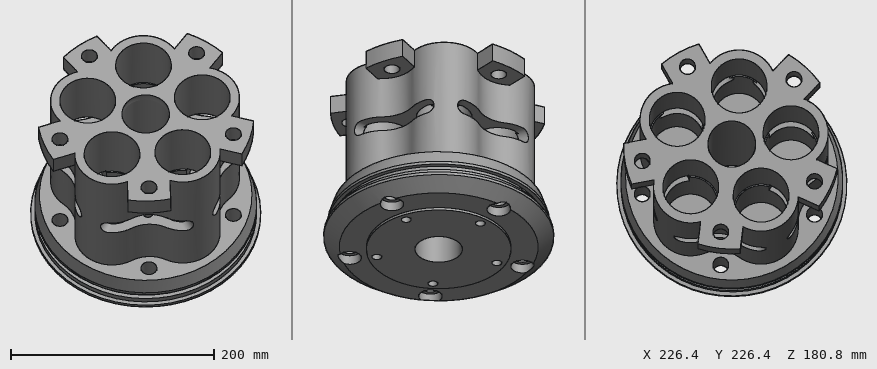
import cadquery as cq
import math

TOTAL_HEIGHT = 180.83
CYLINDER_COUNT = 5
PITCH_ANGLE = 360 / CYLINDER_COUNT
CYLINDER_START = 90
VALLEY_START = CYLINDER_START + PITCH_ANGLE / 2

PILOT_HEIGHT = 2.8
BEVEL_TOP = 14.3
LIP_TOP = 17.5
GROOVE_BOTTOM = 23.0
GROOVE_TOP = 29.3
LAND_TOP = 32.5
FLANGE_TOP = 46.8

PILOT_RADIUS = 71.2
BEVEL_SMALL_RADIUS = 97.8
LIP_RADIUS = 113.19
LAND_RADIUS = 109.2
GROOVE_RADIUS = 105.0
FLANGE_TOP_RADIUS = 104.5

CYLINDER_PITCH_RADIUS = 59.25
BORE_RADIUS = 27.4
CYLINDER_WALL = 9.2
CYLINDER_RADIUS = BORE_RADIUS + CYLINDER_WALL
VALLEY_FILLET_RADIUS = 34.5
BORE_FLOOR = FLANGE_TOP
LOWER_BORE_RADIUS = 26.0

CENTRE_BORE_RADIUS = 23.3
SEAT_HEIGHT = 8.4

LUG_WIDTH = 42.0
LUG_HEIGHT = 19.7
LUG_RADIUS = 106.5
BOLT_CIRCLE_RADIUS = 89.7
BOLT_HOLE_RADIUS = 7.75
BOLT_HEAD_RADIUS = 11.5
BOLT_HEAD_DEPTH = 10.0

PORT_CENTRE_HEIGHT = 108.4
PORT_HEIGHT = 16.0
PORT_INNER_RADIUS = 45.2
PORT_OUTER_RADIUS = 110.0
PORT_END_ANGLE = 24.1
PORT_TURN = -1.0
PORT_ROOF = PORT_CENTRE_HEIGHT + PORT_HEIGHT / 2
BORE_STEP_HEIGHT = PORT_ROOF - 0.9
DUCT_CIRCLE_RADIUS = 62.3
DUCT_RADIUS = 4.75


def polar(radius, angle):
    """Point at a radius and an angle in degrees about the part axis."""
    return (radius * math.cos(math.radians(angle)), radius * math.sin(math.radians(angle)))


def ring(radius, start):
    """Five evenly spaced points about the part axis."""
    return [polar(radius, start + i * PITCH_ANGLE) for i in range(CYLINDER_COUNT)]


def rods(points, radius, bottom, top):
    """Upright round rods at the given points."""
    return cq.Workplane("XY", origin=(0, 0, bottom)).pushPoints(points).circle(radius).extrude(top - bottom)


def base_flange():
    """Turned base with a pilot boss, bevelled lip, ring groove and tapered shoulder."""
    profile = [
        (0, 0),
        (PILOT_RADIUS, 0),
        (PILOT_RADIUS, PILOT_HEIGHT),
        (BEVEL_SMALL_RADIUS, PILOT_HEIGHT),
        (LIP_RADIUS, BEVEL_TOP),
        (LIP_RADIUS, LIP_TOP),
        (LAND_RADIUS, LIP_TOP),
        (LAND_RADIUS, GROOVE_BOTTOM),
        (GROOVE_RADIUS, GROOVE_BOTTOM),
        (GROOVE_RADIUS, GROOVE_TOP),
        (LAND_RADIUS, GROOVE_TOP),
        (LAND_RADIUS, LAND_TOP),
        (FLANGE_TOP_RADIUS, FLANGE_TOP),
        (0, FLANGE_TOP),
    ]
    return cq.Workplane("XZ").polyline(profile).close().revolve(360, (0, 0, 0), (0, 1, 0))


def cylinder_cluster():
    """Five round lobes blended by a concave arc in each valley."""
    half_pitch = math.radians(PITCH_ANGLE / 2)
    half_gap = CYLINDER_PITCH_RADIUS * math.sin(half_pitch)
    centre_distance = CYLINDER_RADIUS + VALLEY_FILLET_RADIUS
    arc_centre_radius = (CYLINDER_PITCH_RADIUS * math.cos(half_pitch)
                         + math.sqrt(centre_distance ** 2 - half_gap ** 2))
    valley_radius = arc_centre_radius - VALLEY_FILLET_RADIUS

    def tangent_point(lobe_angle, valley_angle):
        lobe = polar(CYLINDER_PITCH_RADIUS, lobe_angle)
        arc_centre = polar(arc_centre_radius, valley_angle)
        share = CYLINDER_RADIUS / centre_distance
        return tuple(a + share * (b - a) for a, b in zip(lobe, arc_centre))

    half = PITCH_ANGLE / 2
    outline = cq.Workplane("XY", origin=(0, 0, FLANGE_TOP))
    outline = outline.moveTo(*tangent_point(CYLINDER_START, CYLINDER_START - half))
    for i in range(CYLINDER_COUNT):
        lobe = CYLINDER_START + i * PITCH_ANGLE
        valley = lobe + half
        lobe_crest = polar(CYLINDER_PITCH_RADIUS + CYLINDER_RADIUS, lobe)
        outline = outline.threePointArc(lobe_crest, tangent_point(lobe, valley))
        next_tangent = tangent_point(lobe + PITCH_ANGLE, valley)
        outline = outline.threePointArc(polar(valley_radius, valley), next_tangent)
    return outline.close().extrude(TOTAL_HEIGHT - FLANGE_TOP)


def mounting_lugs():
    """Five lugs flush with the top, one over each valley, with a round outer face."""
    lug_bottom = TOTAL_HEIGHT - LUG_HEIGHT
    disc = rods([(0, 0)], LUG_RADIUS, lug_bottom, TOTAL_HEIGHT)
    bar = (
        cq.Workplane("XY", origin=(0, 0, lug_bottom))
        .rect(LIP_RADIUS, LUG_WIDTH)
        .extrude(LUG_HEIGHT)
        .translate((CYLINDER_PITCH_RADIUS + LIP_RADIUS / 2, 0, 0))
    )
    star = cq.Workplane("XY")
    for i in range(CYLINDER_COUNT):
        star = star.add(bar.rotate((0, 0, 0), (0, 0, 1), VALLEY_START + i * PITCH_ANGLE))
    return star.combine().intersect(disc)


def port():
    """Annular sector centred on the X axis, with round ends that point at the part axis."""
    half_height = PORT_HEIGHT / 2
    section = cq.Workplane("XZ").moveTo(PORT_INNER_RADIUS, PORT_CENTRE_HEIGHT - half_height)
    section = section.lineTo(PORT_OUTER_RADIUS, PORT_CENTRE_HEIGHT - half_height)
    section = section.lineTo(PORT_OUTER_RADIUS, PORT_CENTRE_HEIGHT + half_height)
    section = section.lineTo(PORT_INNER_RADIUS, PORT_CENTRE_HEIGHT + half_height)
    sector = section.close().revolve(2 * PORT_END_ANGLE, (0, 0, 0), (0, 1, 0))
    sector = sector.rotate((0, 0, 0), (0, 0, 1), -PORT_END_ANGLE)
    round_end = (
        cq.Workplane("YZ", origin=(PORT_INNER_RADIUS, 0, PORT_CENTRE_HEIGHT))
        .circle(half_height)
        .extrude(PORT_OUTER_RADIUS - PORT_INNER_RADIUS)
    )
    for angle in (-PORT_END_ANGLE, PORT_END_ANGLE):
        sector = sector.union(round_end.rotate((0, 0, 0), (0, 0, 1), angle))
    return sector


def ports():
    """One port in each valley, all turned slightly the same way."""
    first = port()
    cutter = cq.Workplane("XY")
    for i in range(CYLINDER_COUNT):
        cutter = cutter.add(first.rotate((0, 0, 0), (0, 0, 1), VALLEY_START + PORT_TURN + i * PITCH_ANGLE))
    return cutter.combine()


def cylinder_bores():
    """Blind bores that step in to a slightly narrower lower part just under the port roof."""
    points = ring(CYLINDER_PITCH_RADIUS, CYLINDER_START)
    upper = rods(points, BORE_RADIUS, BORE_STEP_HEIGHT, TOTAL_HEIGHT)
    return upper.union(rods(points, LOWER_BORE_RADIUS, BORE_FLOOR, BORE_STEP_HEIGHT))


def centre_bore():
    """Through bore whose mouth bulges into a shallow spherical seat."""
    half_seat = SEAT_HEIGHT / 2
    seat_radius = math.hypot(CENTRE_BORE_RADIUS, half_seat)
    ball = cq.Workplane("XY").sphere(seat_radius).translate((0, 0, TOTAL_HEIGHT - half_seat))
    seat_band = rods([(0, 0)], seat_radius, TOTAL_HEIGHT - SEAT_HEIGHT, TOTAL_HEIGHT)
    bore = rods([(0, 0)], CENTRE_BORE_RADIUS, 0, TOTAL_HEIGHT)
    return bore.union(ball.intersect(seat_band))


def bolt_holes():
    """Holes through the lugs and the flange, counterbored from below for the bolt heads."""
    points = ring(BOLT_CIRCLE_RADIUS, VALLEY_START)
    shanks = rods(points, BOLT_HOLE_RADIUS, 0, TOTAL_HEIGHT)
    return shanks.union(rods(points, BOLT_HEAD_RADIUS, PILOT_HEIGHT, PILOT_HEIGHT + BOLT_HEAD_DEPTH))


def ducts():
    """Narrow upright passages from the bottom face up into the ports."""
    return rods(ring(DUCT_CIRCLE_RADIUS, VALLEY_START), DUCT_RADIUS, 0, PORT_CENTRE_HEIGHT)


body = base_flange().union(cylinder_cluster()).union(mounting_lugs())
result = body.cut(cylinder_bores()).cut(centre_bore()).cut(bolt_holes()).cut(ports()).cut(ducts())